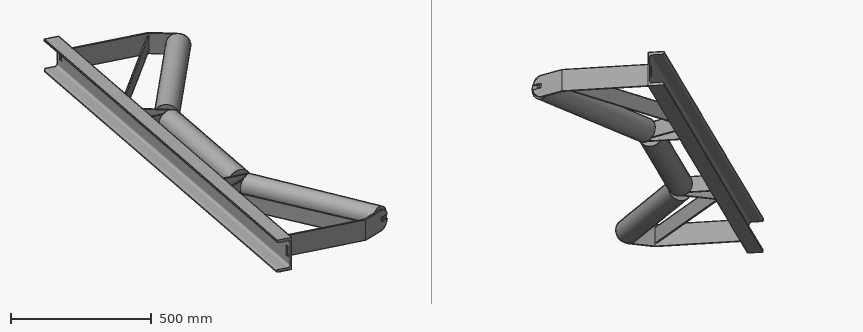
import cadquery as cq
import math


CHANNEL_LENGTH = 1900.0
CHANNEL_HEIGHT = 125.0
CHANNEL_DEPTH = 57.0
WEB_THICKNESS = 5.0
FLANGE_THICKNESS = 10.5
ROOT_RADIUS = 10.0
TIP_RADIUS = 5.0
MOUNT_SLOT_WIDTH = 17.0
MOUNT_SLOT_HEIGHT = 36.0
MOUNT_SLOT_INSET = 27.0

ROLLER_LENGTH = 566.0
ROLLER_DIAMETER = 90.0
SHAFT_DIAMETER = 19.0
SHAFT_FLAT_WIDTH = 17.0
ROLLER_GAP = 5.0
TROUGH_ANGLE = 30.0
FORWARD_TILT = 1.9
MIDDLE_ROLLER_Y = 118.0
MIDDLE_ROLLER_Z = -17.0
WING_INNER_Z = -17.0

PLATE_THICKNESS = 8.0
OUTER_BRACKET_WIDTH = 80.0
INNER_BRACKET_WIDTH = 57.0
INNER_BRACKET_HEIGHT = 142.0
INNER_TOP_LENGTH = 25.0
WING_AXIS_DROP = 23.0
OUTER_LEG_X = 885.0
OUTER_ARM_RISE = 30.0
STRUT_WIDTH = 59.0
STRUT_THICKNESS = 5.0
STRUT_FOOT_X = 420.0

SIN_TROUGH = math.sin(math.radians(TROUGH_ANGLE))
COS_TROUGH = math.cos(math.radians(TROUGH_ANGLE))
TAN_TROUGH = math.tan(math.radians(TROUGH_ANGLE))
TAN_HALF_TROUGH = math.tan(math.radians(TROUGH_ANGLE / 2))
ALONG_WING = cq.Vector(COS_TROUGH, SIN_TROUGH)
UP_ARM = cq.Vector(-SIN_TROUGH, COS_TROUGH)

SHAFT_LENGTH = ROLLER_LENGTH + 2 * (ROLLER_GAP + PLATE_THICKNESS)
INNER_LEG_X = ROLLER_LENGTH / 2 + ROLLER_GAP
INNER_CORNER = cq.Vector(INNER_LEG_X + INNER_TOP_LENGTH, INNER_BRACKET_HEIGHT)
WING_MIDDLE = INNER_CORNER - UP_ARM * WING_AXIS_DROP + ALONG_WING * (ROLLER_GAP + ROLLER_LENGTH / 2)
WING_MIDDLE_Z = WING_INNER_Z + ROLLER_LENGTH / 2 * math.sin(math.radians(FORWARD_TILT))
ARM_AXIS_POINT = WING_MIDDLE + ALONG_WING * (SHAFT_LENGTH / 2)
ARM_TIP = ARM_AXIS_POINT + UP_ARM * OUTER_ARM_RISE
OUTER_BEND_Y = ARM_TIP.y - (OUTER_LEG_X - ARM_TIP.x) / TAN_TROUGH
INSIDE_BEND_X = OUTER_LEG_X - PLATE_THICKNESS
INSIDE_BEND_Y = OUTER_BEND_Y - PLATE_THICKNESS * TAN_HALF_TROUGH


def prism(points, width):
    """Extrude an XY outline to the given width, centred on Z = 0."""
    return cq.Workplane("XY").polyline(points).close().extrude(width / 2, both=True)


def make_channel():
    """U-shaped channel with its flanges towards -Y and an upright slot near each end of the web."""
    half_height = CHANNEL_HEIGHT / 2
    solid = (
        cq.Workplane("YZ")
        .rect(CHANNEL_DEPTH, CHANNEL_HEIGHT)
        .extrude(CHANNEL_LENGTH / 2, both=True)
        .translate((0, -CHANNEL_DEPTH / 2, 0))
    )
    inner_height = CHANNEL_HEIGHT - 2 * FLANGE_THICKNESS
    trough = (
        cq.Workplane("YZ")
        .rect(2 * (CHANNEL_DEPTH - WEB_THICKNESS), inner_height)
        .extrude(CHANNEL_LENGTH / 2, both=True)
        .edges("|X and >Y")
        .fillet(ROOT_RADIUS)
        .translate((0, -CHANNEL_DEPTH, 0))
    )
    solid = solid.cut(trough)
    inner_tips = cq.selectors.BoxSelector(
        (-CHANNEL_LENGTH, -CHANNEL_DEPTH - TIP_RADIUS, -half_height + FLANGE_THICKNESS / 2),
        (CHANNEL_LENGTH, -CHANNEL_DEPTH + TIP_RADIUS, half_height - FLANGE_THICKNESS / 2),
    )
    solid = solid.edges(inner_tips).fillet(TIP_RADIUS)
    slot_x = CHANNEL_LENGTH / 2 - MOUNT_SLOT_INSET
    slots = (
        cq.Workplane("XZ")
        .pushPoints([(-slot_x, 0), (slot_x, 0)])
        .rect(MOUNT_SLOT_WIDTH, MOUNT_SLOT_HEIGHT)
        .extrude(CHANNEL_DEPTH)
    )
    return solid.cut(slots)


def make_shaft():
    """Shaft along X, centred on the origin, with flats facing +Z and -Z."""
    shaft = cq.Workplane("YZ").circle(SHAFT_DIAMETER / 2).extrude(SHAFT_LENGTH / 2, both=True)
    return shaft.intersect(cq.Workplane("XY").box(SHAFT_LENGTH, SHAFT_DIAMETER, SHAFT_FLAT_WIDTH))


def make_roller():
    """Roller along X, centred on the origin, with a flatted shaft end at each side."""
    drum = cq.Workplane("YZ", origin=(-ROLLER_LENGTH / 2, 0, 0))
    drum = drum.circle(ROLLER_DIAMETER / 2).extrude(ROLLER_LENGTH)
    return drum.union(make_shaft())


def place_middle(shape):
    """Move a shape from the roller's own axes to the middle roller."""
    return shape.translate((0, MIDDLE_ROLLER_Y, MIDDLE_ROLLER_Z))


def place_wing(shape):
    """Move a shape from the roller's own axes to the wing roller at +X."""
    return (
        shape.rotate((0, 0, 0), (0, 1, 0), -FORWARD_TILT)
        .rotate((0, 0, 0), (0, 0, 1), TROUGH_ANGLE)
        .translate((WING_MIDDLE.x, WING_MIDDLE.y, WING_MIDDLE_Z))
    )


def make_outer_bracket():
    """Upright leg and a round-tipped arm bent inwards, with an open slot for the wing shaft."""
    inside_tip = ARM_TIP - ALONG_WING * PLATE_THICKNESS
    plate = prism(
        [
            (OUTER_LEG_X, 0),
            (OUTER_LEG_X, OUTER_BEND_Y),
            (ARM_TIP.x, ARM_TIP.y),
            (inside_tip.x, inside_tip.y),
            (INSIDE_BEND_X, INSIDE_BEND_Y),
            (INSIDE_BEND_X, 0),
        ],
        OUTER_BRACKET_WIDTH,
    )
    tip_radius = OUTER_BRACKET_WIDTH / 2
    reach = OUTER_LEG_X
    arm_plane = cq.Plane(origin=ARM_TIP.toTuple(), xDir=UP_ARM.toTuple(), normal=ALONG_WING.toTuple())
    rounded_envelope = (
        cq.Workplane(arm_plane)
        .moveTo(-reach, -tip_radius)
        .lineTo(-tip_radius, -tip_radius)
        .threePointArc((0, 0), (-tip_radius, tip_radius))
        .lineTo(-reach, tip_radius)
        .close()
        .extrude(reach, both=True)
    )
    slot_length = 2 * OUTER_ARM_RISE
    slot = cq.Workplane("XY").box(SHAFT_LENGTH, slot_length, SHAFT_FLAT_WIDTH)
    slot = slot.translate((SHAFT_LENGTH / 2, slot_length / 2, 0))
    return plate.intersect(rounded_envelope).cut(place_wing(slot)).cut(place_wing(make_shaft()))


def make_inner_bracket():
    """Plate folded into an upright leg, a flat top and an inclined leg, with a hole for each shaft."""
    foot_x = INNER_CORNER.x + INNER_CORNER.y * TAN_TROUGH
    foot_thickness = PLATE_THICKNESS / COS_TROUGH
    inside_y = INNER_BRACKET_HEIGHT - PLATE_THICKNESS
    inside_corner_x = INNER_CORNER.x + PLATE_THICKNESS * TAN_TROUGH - foot_thickness
    plate = prism(
        [
            (INNER_LEG_X, 0),
            (INNER_LEG_X, INNER_BRACKET_HEIGHT),
            (INNER_CORNER.x, INNER_CORNER.y),
            (foot_x, 0),
            (foot_x - foot_thickness, 0),
            (inside_corner_x, inside_y),
            (INNER_LEG_X + PLATE_THICKNESS, inside_y),
            (INNER_LEG_X + PLATE_THICKNESS, 0),
        ],
        INNER_BRACKET_WIDTH,
    ).translate((0, 0, MIDDLE_ROLLER_Z))
    shaft = make_shaft()
    return plate.cut(place_middle(shaft)).cut(place_wing(shaft))


def make_strut():
    """Sloping brace from the inside of the outer bracket's bend down to the channel."""
    slope = math.atan2(INSIDE_BEND_Y, INSIDE_BEND_X - STRUT_FOOT_X)
    return prism(
        [
            (STRUT_FOOT_X, 0),
            (INSIDE_BEND_X, INSIDE_BEND_Y),
            (INSIDE_BEND_X, INSIDE_BEND_Y - STRUT_THICKNESS / math.cos(slope)),
            (STRUT_FOOT_X + STRUT_THICKNESS / math.sin(slope), 0),
        ],
        STRUT_WIDTH,
    )


def both_sides(shape):
    """The +X solid and its mirror image on the -X side."""
    return [shape.val(), shape.mirror("YZ").val()]


channel = make_channel()
middle_roller = place_middle(make_roller())
wing_rollers = both_sides(place_wing(make_roller()))
outer_brackets = both_sides(make_outer_bracket())
inner_brackets = both_sides(make_inner_bracket())
struts = both_sides(make_strut())

result = cq.Compound.makeCompound([
    channel.val(),
    middle_roller.val(),
    *wing_rollers,
    *outer_brackets,
    *inner_brackets,
    *struts,
])